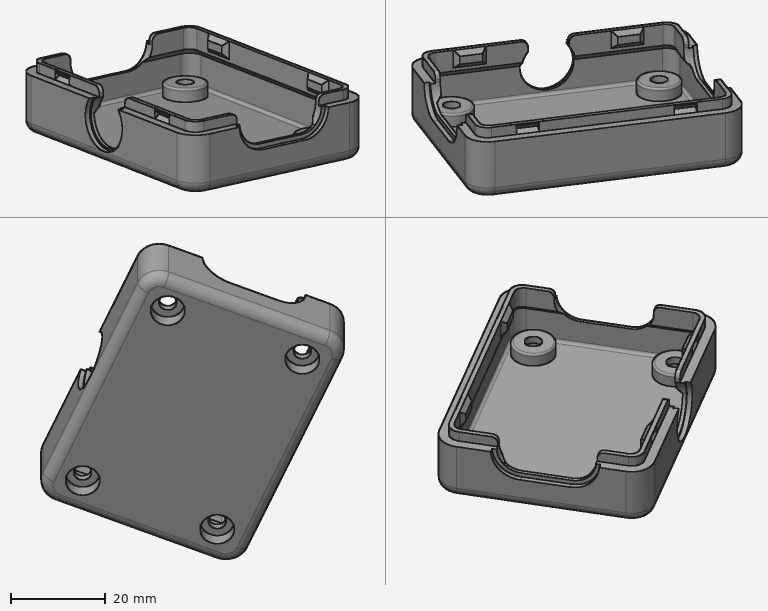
import cadquery as cq
import math

length = 61.0
width = 47.0
height = 15.4
corner_radius = 5.0
bottom_fillet = 2.5

wall = 2.0
floor_thickness = 2.0
floor_fillet = 0.75
lip_inset = 2.2
lip_thickness = 1.1
lip_inner_radius = 2.0
lip_height = 2.3
ledge_z = height - lip_height
lip_inner_inset = lip_inset + lip_thickness
overhang_bottom_z = 9.3
overhang_depth = lip_inner_inset - wall
overhang_top_z = overhang_bottom_z + overhang_depth

boss_diameter = 9.6
boss_top_z = 5.0
boss_fillet = 0.5
screw_hole_diameter = 3.7
screw_head_diameter = 7.2
screw_head_depth = 3.3
boss_spacing_x = 45.9
boss_spacing_y = 30.85

recess_depth = 1.15
lip_end_radius = 1.45
side_opening_width = 21.65
side_opening_radius = 5.35
side_opening_bottom_z = 7.9
side_recess_margin = 1.0
left_opening_y = -0.85
right_opening_y = 1.15
front_opening_diameter = 11.95
front_opening_z = 9.0
front_recess_diameter = 12.9
front_slot_width = 9.0

catch_offset_x = 17.45
catch_tip_length = 5.0
catch_depth = 1.1
catch_bottom_z = 11.35
notch_top_z = 15.0
notch_apex_z = notch_top_z - catch_depth

arc_middle = 1 - math.sqrt(0.5)


def rounded_block(inset, radius, bottom_z, top_z):
    """Body outline moved inwards by inset, with rounded corners, between two heights."""
    return (
        cq.Workplane("XY")
        .workplane(offset=bottom_z)
        .rect(length - 2 * inset, width - 2 * inset)
        .extrude(top_z - bottom_z)
        .edges("|Z")
        .fillet(radius)
    )


def make_shell():
    """Tray with a stepped rim and a wall that thickens inwards below the lip."""
    body = rounded_block(0, corner_radius, 0, ledge_z).faces("<Z").edges().fillet(bottom_fillet)
    lip = rounded_block(lip_inset, corner_radius - lip_inset, ledge_z, height)
    lower_cavity = rounded_block(wall, corner_radius - wall, floor_thickness, overhang_top_z)
    lower_cavity = lower_cavity.faces(">Z").chamfer(overhang_depth)
    lower_cavity = lower_cavity.faces("<Z").edges().fillet(floor_fillet)
    upper_cavity = rounded_block(lip_inner_inset, lip_inner_radius, floor_thickness + floor_fillet, height)
    return body.union(lip).cut(lower_cavity).cut(upper_cavity)


def at_bosses(diameter, bottom_z, top_z):
    """One cylinder at each screw position."""
    return (
        cq.Workplane("XY")
        .workplane(offset=bottom_z)
        .rect(boss_spacing_x, boss_spacing_y, forConstruction=True)
        .vertices()
        .circle(diameter / 2)
        .extrude(top_z - bottom_z)
    )


def slot_with_flared_top(plane, slot_width, bottom_z, depth):
    """Upright slot whose top corners flare out in quarter rounds at the rim."""
    half = slot_width / 2
    flare_z = height - lip_end_radius
    bend = lip_end_radius * arc_middle
    return (
        plane.moveTo(-half, bottom_z)
        .lineTo(-half, flare_z)
        .threePointArc((-half - bend, height - bend), (-half - lip_end_radius, height))
        .lineTo(half + lip_end_radius, height)
        .threePointArc((half + bend, height - bend), (half, flare_z))
        .lineTo(half, bottom_z)
        .close()
        .extrude(depth)
    )


def u_opening(plane, margin, top_z, depth):
    """Round-cornered U opening, grown by margin on its sides and bottom."""
    opening_width = side_opening_width + 2 * margin
    bottom_z = side_opening_bottom_z - margin
    radius = side_opening_radius + margin
    arc_z = bottom_z + radius
    half = opening_width / 2
    bend = radius * arc_middle
    return (
        plane.moveTo(-half, top_z)
        .lineTo(-half, arc_z)
        .threePointArc((-half + bend, bottom_z + bend), (-half + radius, bottom_z))
        .lineTo(half - radius, bottom_z)
        .threePointArc((half - bend, bottom_z + bend), (half, arc_z))
        .lineTo(half, top_z)
        .close()
        .extrude(depth)
    )


def side_opening(side, center_y):
    """Opening in an end wall with a shallow recess around its outer edge."""
    plane = cq.Workplane("YZ", origin=(side * length / 2, center_y, 0))
    arc_top_z = side_opening_bottom_z + side_opening_radius
    through = u_opening(plane, 0, height - lip_end_radius, -side * lip_inner_inset)
    flare = slot_with_flared_top(plane, side_opening_width, arc_top_z, -side * lip_inner_inset)
    recess = u_opening(plane, side_recess_margin, height, -side * recess_depth)
    return through.union(flare).union(recess)


def front_opening():
    """Round cable opening with a narrower throat through the lip."""
    plane = cq.Workplane("XZ", origin=(0, -width / 2, 0))
    center = cq.Workplane("XZ", origin=(0, -width / 2, front_opening_z))
    through = center.circle(front_opening_diameter / 2).extrude(-lip_inner_inset)
    recess = center.circle(front_recess_diameter / 2).extrude(-recess_depth)
    throat = slot_with_flared_top(plane, front_slot_width, front_opening_z, -lip_inner_inset)
    return through.union(recess).union(throat)


def catch_bump(center_x):
    """Bump on the inner face of the back lip, tapered at 45 degrees on all sides."""
    base_length = catch_tip_length + 2 * catch_depth
    base_height = height - catch_bottom_z
    middle_z = (height + catch_bottom_z) / 2
    return (
        cq.Workplane("XZ", origin=(center_x, width / 2 - lip_inner_inset, middle_z))
        .rect(base_length, base_height)
        .workplane(offset=catch_depth)
        .rect(catch_tip_length, base_height - 2 * catch_depth)
        .loft(ruled=True)
    )


def catch_notch(center_x):
    """V notch in the outer face of the back lip, resting on the ledge."""
    face_y = width / 2 - lip_inset
    return (
        cq.Workplane("YZ", origin=(center_x, 0, 0))
        .moveTo(face_y, ledge_z)
        .lineTo(face_y, notch_top_z)
        .lineTo(face_y - catch_depth, notch_apex_z)
        .close()
        .extrude(catch_tip_length / 2, both=True)
    )


result = make_shell()

bosses = at_bosses(boss_diameter, floor_thickness, boss_top_z).faces(">Z").edges().fillet(boss_fillet)
result = result.union(bosses)
result = result.cut(at_bosses(screw_hole_diameter, 0, boss_top_z))
result = result.cut(at_bosses(screw_head_diameter, 0, screw_head_depth))

for center_x in (-catch_offset_x, catch_offset_x):
    bump = catch_bump(center_x)
    notch = catch_notch(center_x)
    result = result.union(bump).union(bump.mirror("XZ"))
    result = result.cut(notch).cut(notch.mirror("XZ"))

result = result.cut(side_opening(-1, left_opening_y))
result = result.cut(side_opening(1, right_opening_y))
result = result.cut(front_opening())